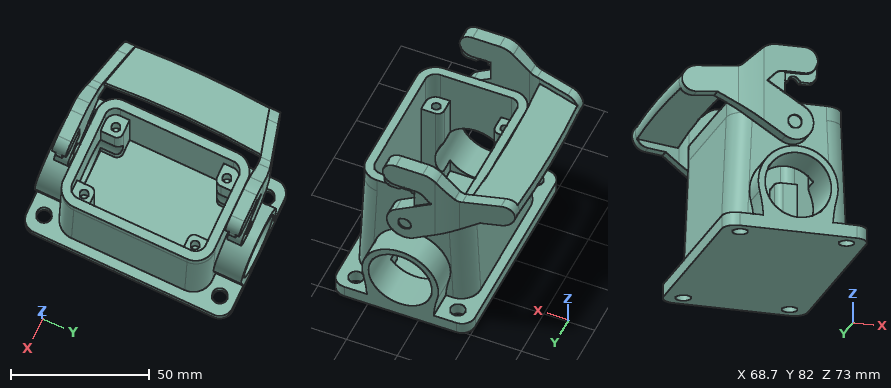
import cadquery as cq
import math

plate_length = 82.0
plate_width = 54.45
plate_height = 5.0
plate_corner_radius = 5.2
screw_hole_diameter = 5.65
screw_hole_x = 20.0
screw_hole_y = 34.9

shell_length = 60.1
shell_base_width = 47.0
shell_rim_width = 43.05
shell_corner_radius = 7.55
rim_start_z = 48.55
rim_top_z = 54.0
wall = 3.5
floor_z = plate_height
cavity_width = shell_rim_width - 2 * wall
cavity_length = shell_length - 2 * wall
cavity_corner_radius = shell_corner_radius - wall

post_top_z = 42.0
post_inner_x = 10.0
post_inner_y = 18.7
post_corner_radius = 2.5
post_hole_diameter = 3.3
post_hole_x = 13.5
post_hole_y = 22.05
post_hole_depth = 9.8

port_center_z = 18.0
port_bore_radius = 12.5
collar_radius = 15.0
collar_foot_half_width = 13.1
collar_waist_z = 14.35

lever_outer_y = 37.15
lever_inner_y = 31.7
pivot_z = 44.0
pivot_pin_radius = 2.1
pivot_recess_radius = 2.55
recess_depth = 0.6
lip_recess = 1.5

arm_radius = 7.0
arm_slope = math.radians(32)

hook_top_z = 73.0
hook_radius = 5.0
hook_center_x = 3.6
hook_center_z = hook_top_z - hook_radius
hook_bottom_z = hook_center_z - hook_radius
hook_tip_x = hook_center_x + hook_radius
shoulder_x = -10.1
shoulder_radius = 8.0
throat_corner_x = -6.15
throat_radius = 4.0

web_edge_x = -3.6
lip_bottom_z = 59.9
lip_radius = 3.0
notch_radius = 2.0
notch_center_x = -0.2

wing_radius = 5.0
wing_center_x = -35.6
wing_center_z = 58.5
wing_top_z = wing_center_z + wing_radius
wing_bottom_z = wing_center_z - wing_radius
nape_x = -20.4
nape_radius = 4.0
wing_angle = math.radians(15)
bend_start_x = -11.9
bend_radius = 35.0
inner_bend_x = -20.9
inner_bend_radius = 15.6
wing_end_x = -45.1

bar_thickness = 4.9
bar_front_x = -41.5
bar_back_x = -24.4
bar_bow_radius = 401.8
bar_half_length = 33.6
bar_end_embed = 0.8


def rounded_prism(length_x, length_y, radius, bottom, top):
    prism = cq.Workplane("XY", origin=(0, 0, bottom)).rect(length_x, length_y).extrude(top - bottom)
    return prism.edges("|Z").fillet(radius)


def shell_section(width, z):
    face = cq.Sketch().rect(width, shell_length).vertices().fillet(shell_corner_radius)
    return face.moved(cq.Location(cq.Vector(0, 0, z)))


def outer_shell():
    """Lower walls that slope along X, under an upright rim."""
    lower = (
        cq.Workplane("XY")
        .placeSketch(
            shell_section(shell_base_width, plate_height),
            shell_section(shell_rim_width, rim_start_z),
        )
        .loft(ruled=True)
    )
    rim = rounded_prism(shell_rim_width, shell_length, shell_corner_radius, rim_start_z, rim_top_z)
    return lower.union(rim)


def corner_posts():
    size_x = cavity_width / 2 - post_inner_x
    size_y = cavity_length / 2 - post_inner_y
    posts = cq.Workplane("XY")
    for side_x in (-1, 1):
        for side_y in (-1, 1):
            center = (side_x * (post_inner_x + size_x / 2), side_y * (post_inner_y + size_y / 2))
            post = (
                cq.Workplane("XY", origin=(*center, floor_z))
                .rect(size_x, size_y)
                .extrude(post_top_z - floor_z)
                .edges("|Z")
                .edges(cq.selectors.NearestToPointSelector((0, 0, floor_z)))
                .fillet(post_corner_radius)
            )
            posts = posts.union(post)
    return posts


def port_collar():
    """Round cable-entry collar on a flared foot, over the full length of the plate."""
    waist_drop = port_center_z - collar_waist_z
    waist_x = math.sqrt(collar_radius**2 - waist_drop**2)
    waist_direction = cq.Vector(-waist_drop, -waist_x)
    flare = cq.Edge.makeTangentArc(
        cq.Vector(waist_x, collar_waist_z),
        waist_direction,
        cq.Vector(collar_foot_half_width, plate_height),
    )
    flare_middle = flare.positionAt(0.5)
    return (
        cq.Workplane("XZ", origin=(0, plate_length / 2, 0))
        .moveTo(-waist_x, collar_waist_z)
        .threePointArc((0, port_center_z + collar_radius), (waist_x, collar_waist_z))
        .threePointArc((flare_middle.x, flare_middle.y), (collar_foot_half_width, plate_height))
        .lineTo(collar_foot_half_width, 0)
        .lineTo(-collar_foot_half_width, 0)
        .lineTo(-collar_foot_half_width, plate_height)
        .threePointArc((-flare_middle.x, flare_middle.y), (-waist_x, collar_waist_z))
        .close()
        .extrude(plate_length)
    )


def port_bore():
    return (
        cq.Workplane("XZ", origin=(0, plate_length / 2, 0))
        .center(0, port_center_z)
        .circle(port_bore_radius)
        .extrude(plate_length)
    )


def corner_holes(x, y, diameter, top, depth):
    return (
        cq.Workplane("XY", origin=(0, 0, top))
        .rect(2 * x, 2 * y, forConstruction=True)
        .vertices()
        .circle(diameter / 2)
        .extrude(-depth)
    )


def make_housing():
    plate = rounded_prism(plate_width, plate_length, plate_corner_radius, 0, plate_height)
    cavity = rounded_prism(cavity_width, cavity_length, cavity_corner_radius, floor_z, rim_top_z)
    cavity = cavity.cut(corner_posts())
    return (
        plate.union(outer_shell())
        .union(port_collar())
        .cut(cavity)
        .cut(port_bore())
        .cut(corner_holes(screw_hole_x, screw_hole_y, screw_hole_diameter, plate_height, plate_height))
        .cut(corner_holes(post_hole_x, post_hole_y, post_hole_diameter, post_top_z, post_hole_depth))
    )


def arm_lower_x(z):
    """X on the lower arm edge, a line tangent to the arm end, at height z."""
    return -(z - pivot_z + arm_radius / math.cos(arm_slope)) / math.tan(arm_slope)


def arm_upper_z(x):
    """Height of the upper arm edge, parallel to the lower one, at x."""
    return pivot_z + arm_radius / math.cos(arm_slope) - x * math.tan(arm_slope)


throat_tip_x = (arm_upper_z(0) - hook_bottom_z + throat_corner_x) / (1 + math.tan(arm_slope))
throat_tip_z = arm_upper_z(throat_tip_x)


def side_profile(plane_y, thickness):
    """Arm, hook and wing as one outline in the XZ plane, running from plane_y towards -Y."""
    tangent_x = arm_radius * math.sin(arm_slope)
    tangent_z = arm_radius * math.cos(arm_slope)
    body = (
        cq.Workplane("XZ", origin=(0, plane_y, 0))
        .moveTo(wing_center_x, wing_top_z)
        .lineTo(nape_x, wing_top_z)
        .lineTo(shoulder_x, hook_top_z)
        .lineTo(hook_center_x, hook_top_z)
        .threePointArc((hook_tip_x, hook_center_z), (hook_center_x, hook_bottom_z))
        .lineTo(throat_corner_x, hook_bottom_z)
        .lineTo(throat_tip_x, throat_tip_z)
        .lineTo(tangent_x, pivot_z + tangent_z)
        .threePointArc(
            (arm_radius * math.cos(arm_slope), pivot_z - arm_radius * math.sin(arm_slope)),
            (-tangent_x, pivot_z - tangent_z),
        )
        .lineTo(arm_lower_x(wing_bottom_z), wing_bottom_z)
        .lineTo(wing_center_x, wing_bottom_z)
        .threePointArc((wing_center_x - wing_radius, wing_center_z), (wing_center_x, wing_top_z))
        .close()
        .extrude(thickness)
    )
    rounded_corners = (
        (nape_x, wing_top_z, nape_radius),
        (shoulder_x, hook_top_z, shoulder_radius),
        (throat_corner_x, hook_bottom_z, throat_radius),
    )
    for x, z, radius in rounded_corners:
        corner = cq.selectors.NearestToPointSelector((x, plane_y - thickness / 2, z))
        body = body.edges("|Y").edges(corner).fillet(radius)
    return body


def hook_web(start_y, end_y):
    """Web that closes the throat behind the pocket."""
    return (
        cq.Workplane("XZ", origin=(0, end_y, 0))
        .moveTo(throat_tip_x, throat_tip_z)
        .lineTo(web_edge_x, arm_upper_z(web_edge_x))
        .lineTo(web_edge_x, hook_center_z)
        .lineTo(throat_tip_x, hook_center_z)
        .close()
        .extrude(end_y - start_y)
    )


def hook_lip(start_y, end_y):
    """Thin lip under the hook, with a tooth against the web and a notch beside it."""
    diagonal = notch_radius * math.sqrt(0.5)
    notch_end_x = notch_center_x + 2 * diagonal
    lip_center_x = hook_tip_x - lip_radius
    lip_center_z = lip_bottom_z + lip_radius
    lip_diagonal = lip_radius * math.sqrt(0.5)
    return (
        cq.Workplane("XZ", origin=(0, end_y, 0))
        .moveTo(web_edge_x, lip_bottom_z)
        .lineTo(notch_center_x - notch_radius, lip_bottom_z)
        .threePointArc(
            (notch_center_x, lip_bottom_z + notch_radius),
            (notch_center_x + diagonal, lip_bottom_z + diagonal),
        )
        .lineTo(notch_end_x, lip_bottom_z)
        .lineTo(lip_center_x, lip_bottom_z)
        .threePointArc(
            (lip_center_x + lip_diagonal, lip_center_z - lip_diagonal),
            (hook_tip_x, lip_center_z),
        )
        .lineTo(hook_tip_x, hook_center_z)
        .lineTo(web_edge_x, hook_center_z)
        .close()
        .extrude(end_y - start_y)
    )


def side_plan():
    """Plan outline of the +Y side: straight along the arm, leaning inwards along the wing."""
    bend_end_x = bend_start_x - bend_radius * math.sin(wing_angle)
    bend_end_y = lever_outer_y - bend_radius * (1 - math.cos(wing_angle))
    bend_middle = (
        bend_start_x - bend_radius * math.sin(wing_angle / 2),
        lever_outer_y - bend_radius * (1 - math.cos(wing_angle / 2)),
    )
    lean = math.tan(wing_angle)
    front_x = hook_tip_x
    bottom_z = pivot_z - arm_radius
    plan = (
        cq.Workplane("XY", origin=(0, 0, bottom_z))
        .moveTo(front_x, lever_outer_y)
        .lineTo(bend_start_x, lever_outer_y)
        .threePointArc(bend_middle, (bend_end_x, bend_end_y))
        .lineTo(wing_end_x, bend_end_y - (bend_end_x - wing_end_x) * lean)
        .lineTo(wing_end_x, wing_inner_y(wing_end_x))
        .lineTo(inner_bend_x, lever_inner_y)
        .lineTo(front_x, lever_inner_y)
        .close()
        .extrude(hook_top_z - bottom_z)
    )
    inner_corner = cq.selectors.NearestToPointSelector((inner_bend_x, lever_inner_y, wing_center_z))
    return plan.edges("|Z").edges(inner_corner).fillet(inner_bend_radius)


def wing_inner_y(x):
    """Y of the inner face of the +Y wing, or of its continuation, at x."""
    return lever_inner_y - (inner_bend_x - x) * math.tan(wing_angle)


def pivot_cylinder(radius, start_y, end_y):
    cylinder = cq.Workplane("XZ", origin=(0, end_y, 0)).center(0, pivot_z).circle(radius)
    return cylinder.extrude(end_y - start_y)


def lever_side():
    """The +Y side with its pivot pin, which ends on the housing wall."""
    side = side_profile(lever_outer_y, lever_outer_y).intersect(side_plan())
    web_outer_y = lever_outer_y - recess_depth
    web = hook_web(lever_inner_y, web_outer_y)
    lip = hook_lip(lever_inner_y + lip_recess, lever_outer_y - lip_recess)
    pin = pivot_cylinder(pivot_pin_radius, shell_length / 2, lever_inner_y)
    recess = pivot_cylinder(pivot_recess_radius, web_outer_y, lever_outer_y)
    return side.union(web).union(lip).cut(recess).union(pin)


def handle_bar():
    """Bar between the wings, bowed outwards, with a front edge as round as the wing ends."""
    half = bar_thickness / 2
    round_center_x = bar_front_x + wing_radius
    edge_x = round_center_x - math.sqrt(wing_radius**2 - half**2)
    axis_x = bar_front_x + bar_bow_radius
    half_angle = math.degrees(math.asin(bar_half_length / bar_bow_radius))
    bar = (
        cq.Workplane("XZ")
        .moveTo(bar_back_x, wing_center_z - half)
        .lineTo(edge_x, wing_center_z - half)
        .threePointArc((bar_front_x, wing_center_z), (edge_x, wing_center_z + half))
        .lineTo(bar_back_x, wing_center_z + half)
        .close()
        .revolve(2 * half_angle, (axis_x, 0, 0), (axis_x, 1, 0))
    )
    bar = bar.rotate((axis_x, 0, 0), (axis_x, 0, 1), -half_angle)
    front_end_y = wing_inner_y(wing_end_x) + bar_end_embed
    back_end_y = wing_inner_y(inner_bend_x) + bar_end_embed
    trim = (
        cq.Workplane("XY", origin=(0, 0, wing_bottom_z))
        .moveTo(wing_end_x, front_end_y)
        .lineTo(inner_bend_x, back_end_y)
        .lineTo(inner_bend_x, -back_end_y)
        .lineTo(wing_end_x, -front_end_y)
        .close()
        .extrude(2 * wing_radius)
    )
    return bar.intersect(trim)


def make_lever():
    side = lever_side()
    return side.union(side.mirror("XZ")).union(handle_bar())


housing = make_housing()
lever = make_lever()
result = cq.Compound.makeCompound([housing.val(), lever.val()])